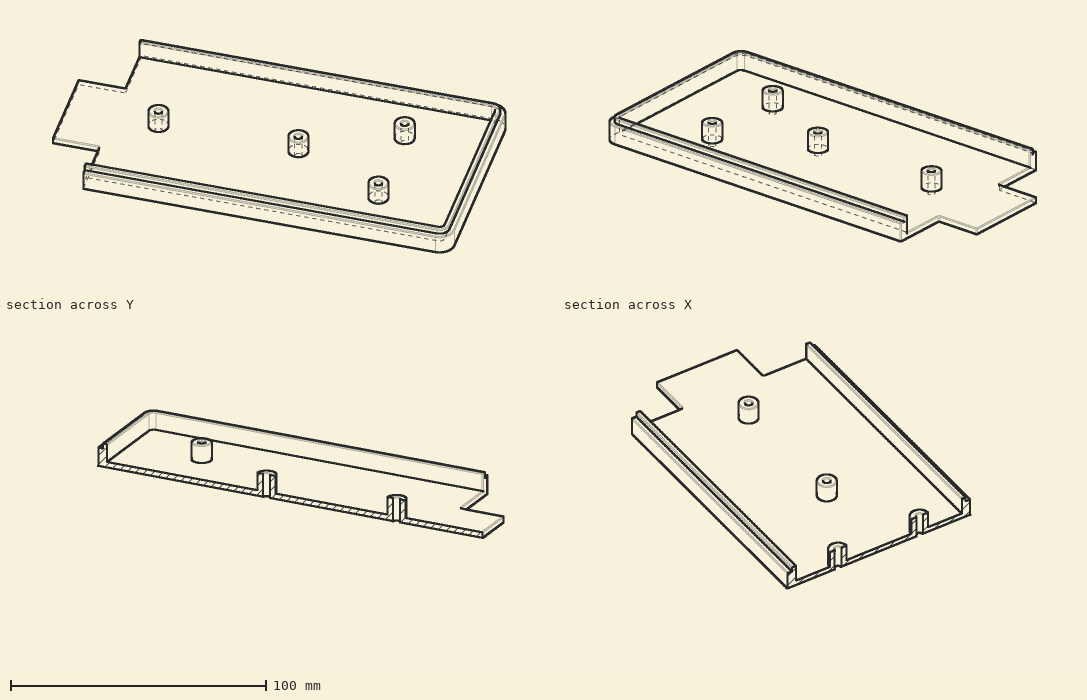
import cadquery as cq

total_length = 168.6
width = 85.0
height = 10.0

tab_length = 19.0
tab_width = 37.5
tab_blend_radius = 0.7
floor_thickness = 2.5
wall_thickness = 4.0
outer_corner_radius = 6.0

rim_inset = 2.0
rim_height = 2.0

post_diameter = 8.0
post_hole_diameter = 2.9
post_spacing_y = 38.0
first_post_x = 37.8
middle_post_x = 94.8
pair_post_x = 132.7

edge_radius = 0.4

pick_margin = 0.02

body_length = total_length - tab_length
ledge_height = height - rim_height
post_centers = [
    (first_post_x, 0),
    (middle_post_x, 0),
    (pair_post_x, post_spacing_y / 2),
    (pair_post_x, -post_spacing_y / 2),
]


def tray_block(inset, bottom, top):
    """Block inset from three sides, flush at the open end, with rounded far corners."""
    return (
        cq.Workplane("XY", origin=(tab_length, 0, bottom))
        .box(body_length - inset, width - 2 * inset, top - bottom, centered=(False, True, False))
        .edges("|Z and >X")
        .fillet(outer_corner_radius - inset)
    )


def edges_between(x_min, x_max, z_min, z_max):
    """Selector for edges whose centre lies in the given X and Z ranges."""
    return cq.selectors.BoxSelector(
        (x_min - pick_margin, -width, z_min - pick_margin),
        (x_max + pick_margin, width, z_max + pick_margin),
    )


def build_tray():
    """Stepped three-sided wall around a floor."""
    lower_block = tray_block(0, 0, ledge_height)
    rim_block = tray_block(rim_inset, 0, height)
    cavity = tray_block(wall_thickness, floor_thickness, height)
    return lower_block.union(rim_block).cut(cavity)


def add_tab(tray):
    """Tab continuing the floor past the open end, blended where it meets the body."""
    tab = cq.Workplane("XY").box(
        2 * tab_length, tab_width, floor_thickness, centered=(False, True, False)
    )
    half_floor = floor_thickness / 2
    inner_corners = edges_between(tab_length, tab_length, half_floor, half_floor)
    return tray.union(tab).edges(inner_corners).fillet(tab_blend_radius)


def round_edges(tray):
    """Round the rim, the ledge, the open end and the tab; the underside stays sharp."""
    half_floor = floor_thickness / 2
    rim_top = edges_between(0, total_length, height, height)
    far_ledge = edges_between(total_length, total_length, ledge_height, ledge_height)
    open_end = edges_between(0, tab_length, half_floor, height)
    blend_seams = edges_between(tab_length - tab_blend_radius, tab_length, half_floor, half_floor)
    return tray.edges(rim_top + far_ledge + (open_end - blend_seams)).fillet(edge_radius)


def build_posts():
    """Standoffs level with the rim, rounded at the outside and at the hole mouth."""
    return (
        cq.Workplane("XY")
        .pushPoints(post_centers)
        .circle(post_diameter / 2)
        .extrude(height)
        .pushPoints(post_centers)
        .circle(post_hole_diameter / 2)
        .cutThruAll()
        .faces(">Z")
        .edges()
        .fillet(edge_radius)
    )


def build_holes():
    """Hole cores that carry the standoff holes down through the floor."""
    return (
        cq.Workplane("XY")
        .pushPoints(post_centers)
        .circle(post_hole_diameter / 2)
        .extrude(height)
    )


tray = round_edges(add_tab(build_tray()))
result = tray.cut(build_holes()).union(build_posts())